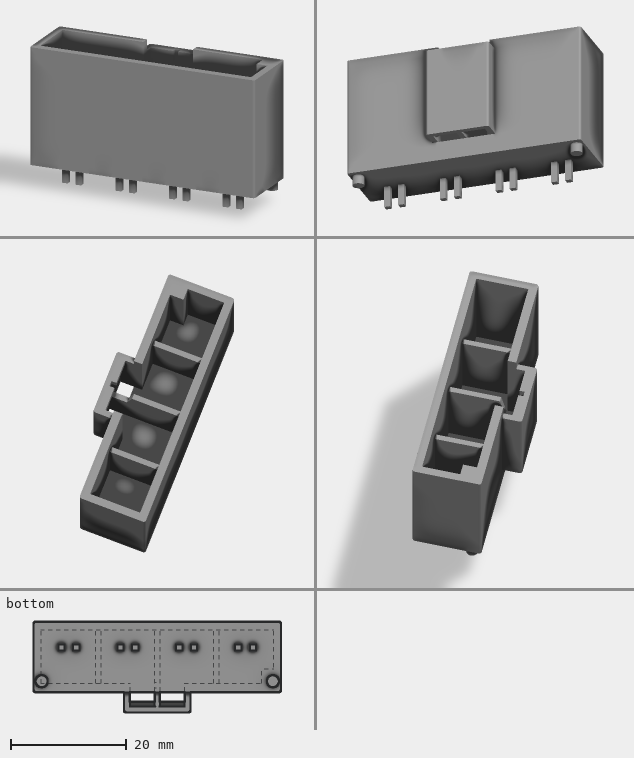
import cadquery as cq

LENGTH = 42.7
DEPTH = 12.2
HEIGHT = 21.45
CORNER_RADIUS = 0.43
END_WALL = 1.32
FRONT_WALL = 1.45
BACK_WALL = 1.55
FLOOR_TOP = 3.45
KEY_LENGTH = 2.05
KEY_DEPTH = 2.48

LATCH_LENGTH = 11.5
LATCH_SIDE_WALL = 1.02
LATCH_BACK = 15.7
LATCH_WALL = 1.02
LATCH_TOP = 19.45
LATCH_BOTTOM = 3.45
LIP_DEPTH = 0.9
LIP_HEIGHT = 1.88

BAY_PITCH = 10.15
RIB_WIDTH = 0.95
RIB_TOP = 16.4
RIB_STEP_TOP = 12.55
RIB_STEP_Y = 10.55
RIB_STEP_RUN = 0.95

PIN_WIDTH = 1.05
PIN_LENGTH = 3.85
PIN_Y = 4.5
PIN_SPACING = 2.55
BAY_COUNT = 4
PEG_DIAMETER = 2.1
PEG_LENGTH = 1.65
PEG_X = 19.95
PEG_Y = 10.3

cavity_back = DEPTH - BACK_WALL
cavity_end = LENGTH / 2 - END_WALL
opening_half = LATCH_LENGTH / 2 - LATCH_SIDE_WALL
latch_inner_back = LATCH_BACK - LATCH_WALL


def block(x0, x1, y0, y1, z0, z1):
    """Box given by its limits along each axis."""
    return cq.Workplane("XY").box(x1 - x0, y1 - y0, z1 - z0, centered=False).translate((x0, y0, z0))


def make_housing():
    """Open-topped box with a corner key and an opening in its back wall."""
    shell = block(-LENGTH / 2, LENGTH / 2, 0, DEPTH, 0, HEIGHT).edges("|Z").fillet(CORNER_RADIUS)
    cavity = block(-cavity_end, cavity_end, FRONT_WALL, cavity_back, FLOOR_TOP, HEIGHT)
    key = block(cavity_end - KEY_LENGTH, cavity_end, cavity_back - KEY_DEPTH, cavity_back, FLOOR_TOP, HEIGHT)
    opening = block(-opening_half, opening_half, cavity_back, DEPTH, FLOOR_TOP, HEIGHT)
    return shell.cut(cavity.cut(key)).cut(opening)


def make_latch():
    """U-shaped bracket with a lip along the top of its back wall, notched in the middle."""
    bracket = block(-LATCH_LENGTH / 2, LATCH_LENGTH / 2, DEPTH, LATCH_BACK, LATCH_BOTTOM, LATCH_TOP)
    bracket = bracket.edges("|Z and >Y").fillet(CORNER_RADIUS)
    inside = block(-opening_half, opening_half, DEPTH, latch_inner_back, LATCH_BOTTOM, LATCH_TOP)
    lip_front = latch_inner_back - LIP_DEPTH
    lip = block(-opening_half, opening_half, lip_front, latch_inner_back, LATCH_TOP - LIP_HEIGHT, LATCH_TOP)
    notch = block(-RIB_WIDTH / 2, RIB_WIDTH / 2, lip_front, latch_inner_back, LATCH_BOTTOM, LATCH_TOP)
    return bracket.cut(inside.cut(lip)).cut(notch)


def make_side_rib(x):
    """Full-depth rib centred at x."""
    return block(x - RIB_WIDTH / 2, x + RIB_WIDTH / 2, FRONT_WALL, cavity_back, FLOOR_TOP, RIB_TOP)


def make_middle_rib():
    """Rib reaching the latch wall, its top sloping down to a lower rear portion."""
    profile = [
        (FRONT_WALL, FLOOR_TOP),
        (latch_inner_back, FLOOR_TOP),
        (latch_inner_back, RIB_STEP_TOP),
        (RIB_STEP_Y + RIB_STEP_RUN, RIB_STEP_TOP),
        (RIB_STEP_Y, RIB_TOP),
        (FRONT_WALL, RIB_TOP),
    ]
    return cq.Workplane("YZ").polyline(profile).close().extrude(RIB_WIDTH / 2, both=True)


def make_pins():
    """One pair of square pins under each contact bay."""
    positions = []
    for bay in range(BAY_COUNT):
        bay_x = (bay - (BAY_COUNT - 1) / 2) * BAY_PITCH
        for side in (-1, 1):
            positions.append((bay_x + side * PIN_SPACING / 2, PIN_Y))
    return cq.Workplane("XY").pushPoints(positions).rect(PIN_WIDTH, PIN_WIDTH).extrude(-PIN_LENGTH)


def make_pegs():
    """Round locating peg near each end."""
    positions = [(-PEG_X, PEG_Y), (PEG_X, PEG_Y)]
    return cq.Workplane("XY").pushPoints(positions).circle(PEG_DIAMETER / 2).extrude(-PEG_LENGTH)


result = make_housing().union(make_latch()).union(make_middle_rib())
for rib_x in (-BAY_PITCH, BAY_PITCH):
    result = result.union(make_side_rib(rib_x))
result = result.union(make_pins()).union(make_pegs())